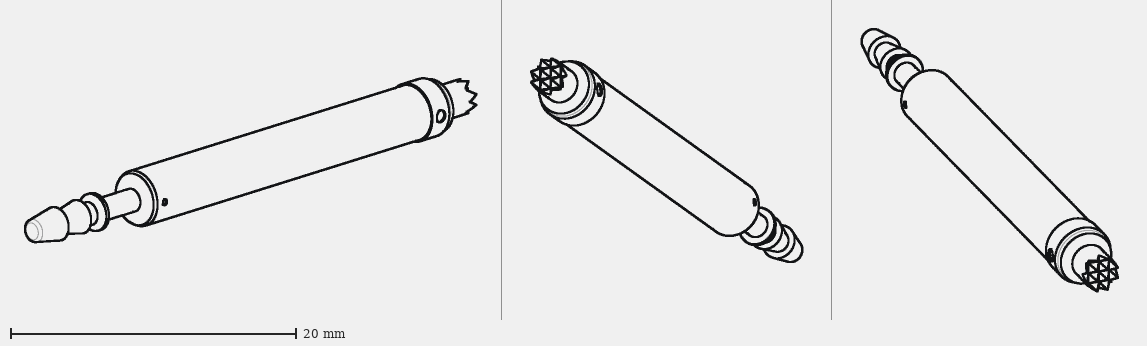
import cadquery as cq

LENGTH = 43.5

barb_radius = 1.2
barb_waist_radius = 0.75
barb_end_rounding = 0.2
rod_radius = 0.83
flange_radius = 1.35
body_radius = 2.0
body_rim_radius = 1.85
collar_radius = 4.2 / 2
shoulder_band_radius = 2.0
shoulder_radius = 1.9
head_radius = 2.5 / 2

rear_barb_y = 2.45
front_barb_y = 4.7
front_barb_root_y = 4.9
flange_cone_start_y = 5.75
flange_cone_end_y = 6.1
flange_front_y = 6.35
body_end_y = 10.05
body_rim_y = 10.3
body_start_y = 10.55
collar_start_y = 38.1
collar_end_y = 39.8
shoulder_band_y = 40.05
shoulder_y = 40.4
head_start_y = 40.9

groove_count = 3
groove_pitch = 0.8
groove_depth = 0.7

collar_pocket_y = 38.98
collar_pocket_diameter = 0.85
body_pocket_y = 11.3
body_pocket_diameter = 0.45
pocket_depth = 0.15


def turned_body():
    """Revolve the half profile (radius, y) around the Y axis."""
    rounding_start = (rod_radius - barb_end_rounding, 0)
    rounding_end = (rod_radius, barb_end_rounding)
    outline = [
        (barb_radius, rear_barb_y),
        (barb_waist_radius, rear_barb_y),
        (barb_radius, front_barb_y),
        (rod_radius, front_barb_root_y),
        (rod_radius, flange_cone_start_y),
        (flange_radius, flange_cone_end_y),
        (flange_radius, flange_front_y),
        (rod_radius, flange_front_y),
        (rod_radius, body_end_y),
        (body_rim_radius, body_rim_y),
        (body_radius, body_start_y),
        (body_radius, collar_start_y),
        (collar_radius, collar_start_y),
        (collar_radius, collar_end_y),
        (shoulder_band_radius, shoulder_band_y),
        (shoulder_radius, shoulder_y),
        (head_radius, head_start_y),
        (head_radius, LENGTH),
        (0, LENGTH),
    ]
    profile = (
        cq.Workplane("XY")
        .lineTo(*rounding_start)
        .tangentArcPoint(rounding_end, relative=False)
        .polyline(outline, includeCurrent=True)
        .close()
    )
    return profile.revolve(360, (0, 0, 0), (0, 1, 0))


def head_groove(center_x):
    """V-groove along Z, open at the end face of the head."""
    return (
        cq.Workplane("XY")
        .moveTo(center_x - groove_pitch / 2, LENGTH)
        .lineTo(center_x, LENGTH - groove_depth)
        .lineTo(center_x + groove_pitch / 2, LENGTH)
        .close()
        .extrude(2 * head_radius, both=True)
    )


def side_pocket(y, diameter, surface_radius, side):
    """Flat-bottomed round cutter entering the +X (side = 1) or -X (side = -1) surface."""
    floor_x = side * (surface_radius - pocket_depth)
    return (
        cq.Workplane("YZ", origin=(floor_x, y, 0))
        .circle(diameter / 2)
        .extrude(side * 2 * pocket_depth)
    )


result = turned_body()

for index in range(groove_count):
    groove = head_groove((index - (groove_count - 1) / 2) * groove_pitch)
    crossing_groove = groove.rotate((0, 0, 0), (0, 1, 0), 90)
    result = result.cut(groove).cut(crossing_groove)

for side in (-1, 1):
    result = result.cut(side_pocket(collar_pocket_y, collar_pocket_diameter, collar_radius, side))
    result = result.cut(side_pocket(body_pocket_y, body_pocket_diameter, body_radius, side))